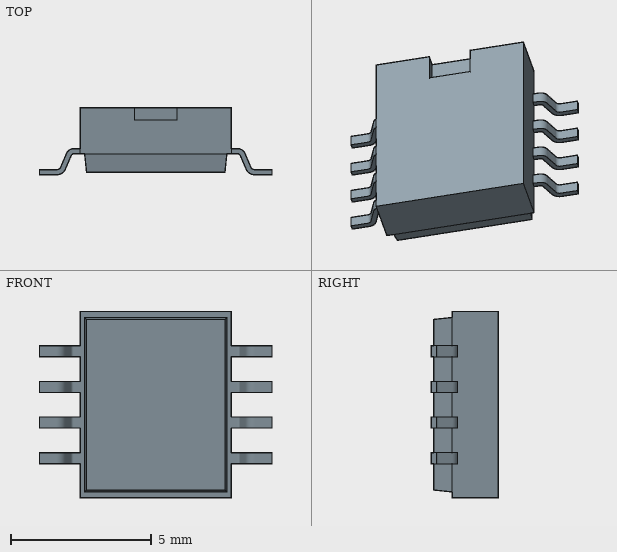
import cadquery as cq
import math


LEAD_SPAN = 8.3
PACKAGE_HEIGHT = 2.4

BODY_WIDTH = 5.4
BODY_LENGTH = 6.65
BODY_THICKNESS = 1.65

SLAB_WIDTH = 5.08
SLAB_LENGTH = 6.23
SLAB_THICKNESS = 0.66
SLAB_TAPER = 6.0

NOTCH_WIDTH = 1.5
NOTCH_DEPTH = 0.45
NOTCH_LENGTH = 1.0

LEADS_PER_SIDE = 4
LEAD_PITCH = 1.27
LEAD_WIDTH = 0.4
LEAD_THICKNESS = 0.19
SHANK_LENGTH = 0.22
SHANK_BEND_RADIUS = 0.1
FOOT_BEND_RADIUS = 0.15
BEND_ANGLE = math.radians(67)
LEAD_EMBED = 0.2

BACK_Y = PACKAGE_HEIGHT
PARTING_Y = BACK_Y - BODY_THICKNESS


def make_block():
    """Main block with the notch cut into its back face at the top end."""
    block = cq.Workplane("XY").box(BODY_WIDTH, BODY_THICKNESS, BODY_LENGTH)
    block = block.translate((0, PARTING_Y + BODY_THICKNESS / 2, 0))
    notch = cq.Workplane("XY").box(NOTCH_WIDTH, NOTCH_DEPTH, NOTCH_LENGTH)
    notch = notch.translate((0, BACK_Y - NOTCH_DEPTH / 2, (BODY_LENGTH - NOTCH_LENGTH) / 2))
    return block.cut(notch)


def make_slab():
    """Slab that narrows from the parting plane towards the seating plane."""
    return (
        cq.Workplane("XZ", origin=(0, PARTING_Y, 0))
        .rect(SLAB_WIDTH, SLAB_LENGTH)
        .extrude(SLAB_THICKNESS, taper=SLAB_TAPER)
    )


def make_lead():
    """One lead on the +X side, centred on z = 0."""
    shank_outer_radius = SHANK_BEND_RADIUS + LEAD_THICKNESS
    foot_outer_radius = FOOT_BEND_RADIUS + LEAD_THICKNESS

    center_radii = SHANK_BEND_RADIUS + FOOT_BEND_RADIUS + LEAD_THICKNESS
    bend_drop = center_radii * (1 - math.cos(BEND_ANGLE))
    leg_length = (PARTING_Y - bend_drop) / math.sin(BEND_ANGLE)
    bend_run = center_radii * math.sin(BEND_ANGLE) + leg_length * math.cos(BEND_ANGLE)

    root_x = BODY_WIDTH / 2 - LEAD_EMBED
    shank_x = BODY_WIDTH / 2 + SHANK_LENGTH
    foot_x = shank_x + bend_run
    tip_x = LEAD_SPAN / 2
    shank_center_y = PARTING_Y - SHANK_BEND_RADIUS
    foot_center_y = foot_outer_radius

    def on_shank_bend(radius, angle):
        return (shank_x + radius * math.sin(angle), shank_center_y + radius * math.cos(angle))

    def on_foot_bend(radius, angle):
        return (foot_x - radius * math.sin(angle), foot_center_y - radius * math.cos(angle))

    half_angle = BEND_ANGLE / 2
    return (
        cq.Workplane("XY", origin=(0, 0, -LEAD_WIDTH / 2))
        .moveTo(root_x, PARTING_Y + LEAD_THICKNESS)
        .lineTo(*on_shank_bend(shank_outer_radius, 0))
        .threePointArc(
            on_shank_bend(shank_outer_radius, half_angle),
            on_shank_bend(shank_outer_radius, BEND_ANGLE),
        )
        .lineTo(*on_foot_bend(FOOT_BEND_RADIUS, BEND_ANGLE))
        .threePointArc(
            on_foot_bend(FOOT_BEND_RADIUS, half_angle),
            on_foot_bend(FOOT_BEND_RADIUS, 0),
        )
        .lineTo(tip_x, LEAD_THICKNESS)
        .lineTo(tip_x, 0)
        .lineTo(*on_foot_bend(foot_outer_radius, 0))
        .threePointArc(
            on_foot_bend(foot_outer_radius, half_angle),
            on_foot_bend(foot_outer_radius, BEND_ANGLE),
        )
        .lineTo(*on_shank_bend(SHANK_BEND_RADIUS, BEND_ANGLE))
        .threePointArc(
            on_shank_bend(SHANK_BEND_RADIUS, half_angle),
            on_shank_bend(SHANK_BEND_RADIUS, 0),
        )
        .lineTo(root_x, PARTING_Y)
        .close()
        .extrude(LEAD_WIDTH)
    )


result = make_block().union(make_slab())

right_lead = make_lead()
left_lead = right_lead.mirror("YZ")
for index in range(LEADS_PER_SIDE):
    lead_z = (index - (LEADS_PER_SIDE - 1) / 2) * LEAD_PITCH
    for lead in (right_lead, left_lead):
        result = result.union(lead.translate((0, 0, lead_z)))